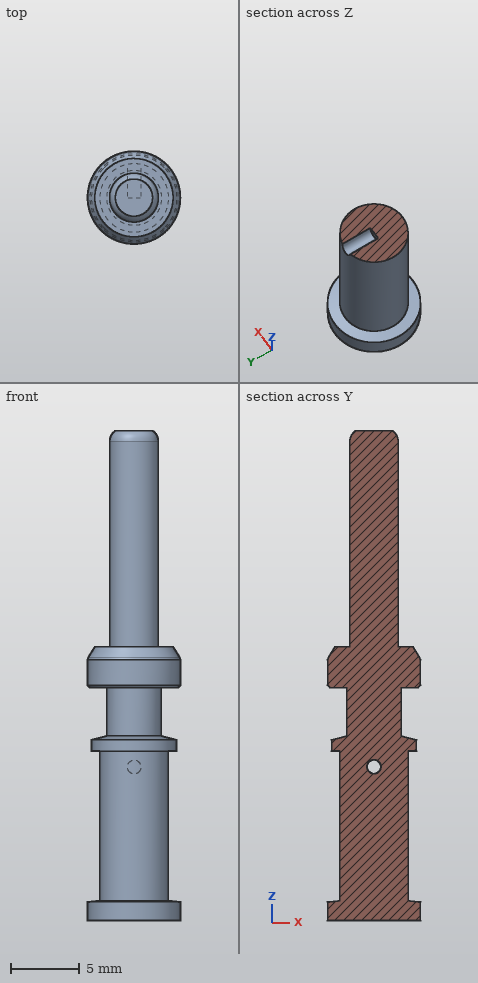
import cadquery as cq
import math

TOTAL_LENGTH = 35.8
BASE_FLANGE_TOP = 1.45
RING_BOTTOM = 12.4
RING_TOP = 13.5
COLLAR_BOTTOM = 17.0
COLLAR_TOP = 20.0

FLANGE_RADIUS = 3.4
BARREL_RADIUS = 2.5
RING_RADIUS = 3.1
NECK_RADIUS = 2.0
PIN_RADIUS = 1.8

BASE_CONE_RISE = 0.1
RING_CONE_RISE = 0.3

COLLAR_LOWER_CHAMFER = 0.18
COLLAR_CONE_DROP = 0.75
COLLAR_CONE_WIDTH = 0.45
COLLAR_BEVEL_DROP = 0.2
COLLAR_BEVEL_WIDTH = 0.07

TIP_HEIGHT = 0.8
TIP_WIDTH = 0.43

INSPECTION_HOLE_DIAMETER = 1.0
INSPECTION_HOLE_HEIGHT = 11.25


def turned_body():
    """Revolve the half profile, drawn as (radius, height), around Z."""
    cone_foot = FLANGE_RADIUS - COLLAR_BEVEL_WIDTH
    cone_foot_height = COLLAR_TOP - COLLAR_CONE_DROP
    lower_points = [
        (0, 0),
        (FLANGE_RADIUS, 0),
        (FLANGE_RADIUS, BASE_FLANGE_TOP - BASE_CONE_RISE),
        (BARREL_RADIUS, BASE_FLANGE_TOP),
        (BARREL_RADIUS, RING_BOTTOM),
        (RING_RADIUS, RING_BOTTOM),
        (RING_RADIUS, RING_TOP - RING_CONE_RISE),
        (NECK_RADIUS, RING_TOP),
        (NECK_RADIUS, COLLAR_BOTTOM),
        (FLANGE_RADIUS - COLLAR_LOWER_CHAMFER, COLLAR_BOTTOM),
        (FLANGE_RADIUS, COLLAR_BOTTOM + COLLAR_LOWER_CHAMFER),
        (FLANGE_RADIUS, cone_foot_height - COLLAR_BEVEL_DROP),
        (cone_foot, cone_foot_height),
        (cone_foot - COLLAR_CONE_WIDTH, COLLAR_TOP),
        (PIN_RADIUS, COLLAR_TOP),
        (PIN_RADIUS, TOTAL_LENGTH - TIP_HEIGHT),
    ]
    tip_radius = (TIP_HEIGHT**2 + TIP_WIDTH**2) / (2 * TIP_WIDTH)
    half_sweep = math.asin(TIP_HEIGHT / tip_radius) / 2
    tip_middle = (
        PIN_RADIUS - tip_radius * (1 - math.cos(half_sweep)),
        TOTAL_LENGTH - TIP_HEIGHT + tip_radius * math.sin(half_sweep),
    )
    half_profile = (
        cq.Workplane("XZ")
        .polyline(lower_points)
        .threePointArc(tip_middle, (PIN_RADIUS - TIP_WIDTH, TOTAL_LENGTH))
        .lineTo(0, TOTAL_LENGTH)
        .close()
    )
    return half_profile.revolve(360, (0, 0, 0), (0, 1, 0))


def inspection_hole():
    """Radial drill running from the barrel axis out through the +Y side."""
    return (
        cq.Workplane("XZ")
        .center(0, INSPECTION_HOLE_HEIGHT)
        .circle(INSPECTION_HOLE_DIAMETER / 2)
        .extrude(-2 * BARREL_RADIUS)
    )


result = turned_body().cut(inspection_hole())